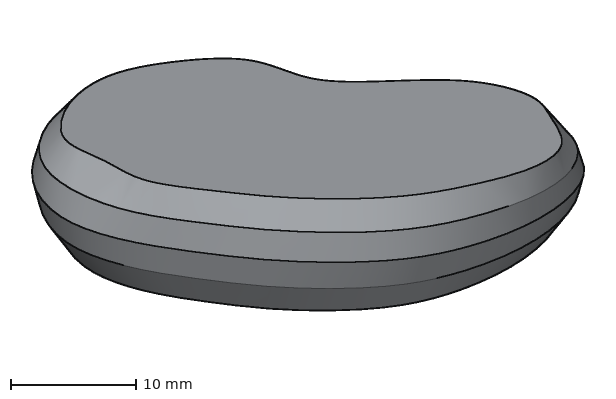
import cadquery as cq


FRONT_HEIGHT = 4.65
TOP_FRONT_Y = -16.68
TOP_BACK_Y = 18.65
TOP_BACK_HEIGHT = 3.0
BOTTOM_FRONT_Y = -17.25
BOTTOM_BACK_Y = 17.35
BOTTOM_BACK_HEIGHT = 2.75

FRONT_POINT = (0, -18.65)
FLANK = [
    (8.6, -17.6),
    (14.3, -14.75),
    (18.7, -9.25),
    (21.25, -2.65),
    (22, 4.4),
    (20.0, 12.0),
    (15.85, 15.95),
]
RIGHT_LOBE = (8.5, 18.0)
NOTCH = (-0.9, 16.2)
LEFT_LOBE = (-9.7, 17.75)

TOP_EDGE = [
    (0, TOP_FRONT_Y),
    (7.9, -15.55),
    (13.4, -12.55),
    (17.4, -7.9),
    (20.35, -2.2),
    (20.9, 3.95),
    (17.8, 11.45),
    (14.75, 16.3),
    (8.5, TOP_BACK_Y),
    (-3.3, 15.2),
    (-9.7, 18.25),
    (-15.2, 15.7),
    (-18.15, 12.0),
    (-19.7, 3.95),
    (-18.85, -2.65),
    (-16.5, -8.15),
    (-12.3, -11.9),
    (-7.9, -15.65),
]

BOTTOM_SCALE_X = 0.91
BOTTOM_SHIFT_X = 0.25
BOTTOM_FRONT_SCALE_Y = BOTTOM_FRONT_Y / FRONT_POINT[1]
BOTTOM_BACK_SCALE_Y = BOTTOM_BACK_Y / RIGHT_LOBE[1]

RIM_LEVELS = [0.5, 1]


def widest_outline():
    """Points of the outline at mid height, counterclockwise from the front."""
    left_flank = [(-x, y) for x, y in reversed(FLANK)]
    return [FRONT_POINT] + FLANK + [RIGHT_LOBE, NOTCH, LEFT_LOBE] + left_flank


def bottom_edge(outline):
    """Points of the bottom face's edge."""
    points = []
    for x, y in outline:
        scale_y = BOTTOM_FRONT_SCALE_Y if y < 0 else BOTTOM_BACK_SCALE_Y
        points.append((x * BOTTOM_SCALE_X + BOTTOM_SHIFT_X, y * scale_y))
    return points


def top_height(y):
    slope = (TOP_BACK_HEIGHT - FRONT_HEIGHT) / (TOP_BACK_Y - TOP_FRONT_Y)
    return FRONT_HEIGHT + slope * (y - TOP_FRONT_Y)


def bottom_height(y):
    slope = (FRONT_HEIGHT - BOTTOM_BACK_HEIGHT) / (BOTTOM_BACK_Y - BOTTOM_FRONT_Y)
    return -FRONT_HEIGHT + slope * (y - BOTTOM_FRONT_Y)


def rim_section(outline, edge, face_height, level):
    """Closed curve on a tilted plane between mid height (0) and a face (1)."""
    blend = level ** 2
    points = []
    for (wide_x, wide_y), (edge_x, edge_y) in zip(outline, edge):
        x = wide_x + blend * (edge_x - wide_x)
        y = wide_y + blend * (edge_y - wide_y)
        points.append(cq.Vector(x, y, level * face_height(y)))
    return cq.Wire.assembleEdges([cq.Edge.makeSpline(points, periodic=True)])


widest = widest_outline()
bottom = bottom_edge(widest)

sections = [rim_section(widest, bottom, bottom_height, level) for level in reversed(RIM_LEVELS)]
sections.append(rim_section(widest, widest, top_height, 0))
sections += [rim_section(widest, TOP_EDGE, top_height, level) for level in RIM_LEVELS]

result = cq.Workplane(cq.Solid.makeLoft(sections, True))